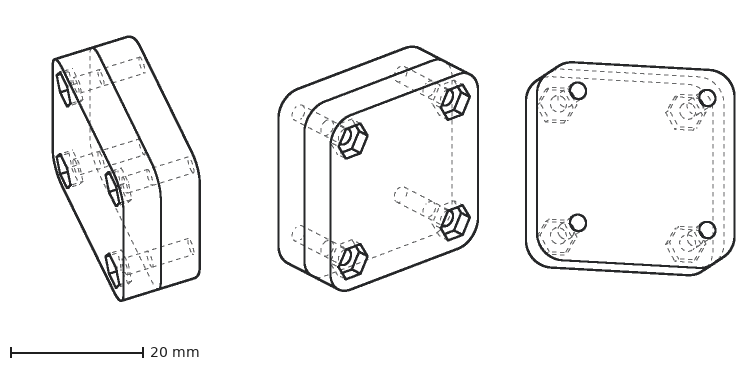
import cadquery as cq
import math

SIDE = 29.4
DEPTH = 12.7
CORNER_RADIUS = 4.0
BACK_EDGE_RADIUS = 1.0

BASE_DEPTH = 6.05
COVER_DEPTH = DEPTH - BASE_DEPTH

BOLT_SPACING = 20.32
BOLT_HOLE_DIAMETER = 2.53
NUT_ACROSS_FLATS = 5.0
NUT_ACROSS_CORNERS = NUT_ACROSS_FLATS / math.cos(math.radians(30))
NUT_POCKET_DEPTH = 2.0


def section_plane(y):
    """Plane at depth y with local x along +X, local y along +Z and normal along -Y."""
    return cq.Workplane("XZ", origin=(0, y, 0))


def rounded_block(front_y, depth):
    """Square block with rounded corners, from front_y toward +Y."""
    return section_plane(front_y).rect(SIDE, SIDE).extrude(-depth).edges("|Y").fillet(CORNER_RADIUS)


def at_bolts(plane):
    """Put one point on the plane at each bolt axis."""
    return plane.rect(BOLT_SPACING, BOLT_SPACING, forConstruction=True).vertices()


def bolt_holes():
    """Cylinders that run through the full depth of both bodies."""
    return at_bolts(section_plane(0)).circle(BOLT_HOLE_DIAMETER / 2).extrude(-DEPTH)


def nut_pockets():
    """Hexagonal prisms sunk from the front face, with corners pointing along X."""
    return at_bolts(section_plane(0)).polygon(6, NUT_ACROSS_CORNERS).extrude(-NUT_POCKET_DEPTH)


def make_base():
    """Front half, with the nut pockets."""
    return rounded_block(0, BASE_DEPTH).cut(bolt_holes()).cut(nut_pockets())


def make_cover():
    """Back half, with a rounded rim around its back face."""
    block = rounded_block(BASE_DEPTH, COVER_DEPTH)
    return block.faces(">Y").edges().fillet(BACK_EDGE_RADIUS).cut(bolt_holes())


base = make_base()
cover = make_cover()

result = cq.Compound.makeCompound([base.val(), cover.val()])